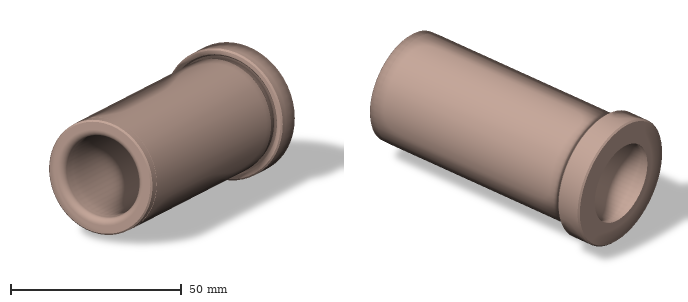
import cadquery as cq

length = 80.0
flange_radius = 20.0
flange_length = 8.0
flange_chamfer = 0.5

body_radius = 17.5
lead_radius = body_radius - 0.1
lead_length = 2.9
lead_chamfer = 0.5

undercut_radius = body_radius - 0.5
undercut_length = 2.1
undercut_taper = 0.8

face_relief_radius = 18.3
face_relief_depth = 0.5

bore_radius = 12.5
mouth_radius = 2.0

flange_face = length - flange_length
body_end = flange_face - undercut_length


def make_turned_blank():
    """Solid outer shape, revolved from a half section of (radius, height)."""
    half_section = (
        cq.Workplane("XY")
        .moveTo(0, 0)
        .lineTo(lead_radius - lead_chamfer, 0)
        .lineTo(lead_radius, lead_chamfer)
        .lineTo(lead_radius, lead_length)
        .lineTo(body_radius, lead_length)
        .lineTo(body_radius, body_end)
        .lineTo(undercut_radius, body_end + undercut_taper)
        .lineTo(undercut_radius, flange_face + face_relief_depth)
        .lineTo(face_relief_radius - face_relief_depth, flange_face + face_relief_depth)
        .lineTo(face_relief_radius, flange_face)
        .lineTo(flange_radius - flange_chamfer, flange_face)
        .lineTo(flange_radius, flange_face + flange_chamfer)
        .lineTo(flange_radius, length - flange_chamfer)
        .lineTo(flange_radius - flange_chamfer, length)
        .lineTo(0, length)
        .close()
    )
    return half_section.revolve(360, (0, 0, 0), (0, 1, 0))


def make_bore():
    """Through bore that flares to a rounded mouth at the free end."""
    half_section = (
        cq.Workplane("XY")
        .moveTo(0, 0)
        .lineTo(bore_radius + mouth_radius, 0)
        .radiusArc((bore_radius, mouth_radius), mouth_radius)
        .lineTo(bore_radius, length)
        .lineTo(0, length)
        .close()
    )
    return half_section.revolve(360, (0, 0, 0), (0, 1, 0))


result = make_turned_blank().cut(make_bore())